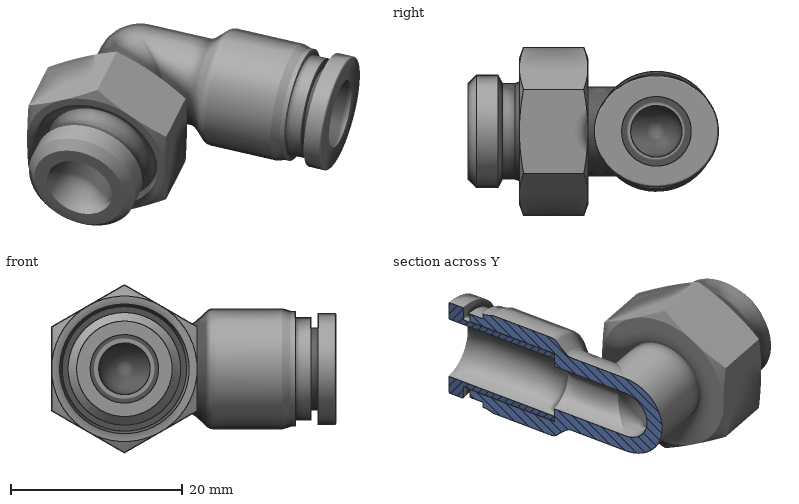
import cadquery as cq
import math


OVERALL_LENGTH = 33.2

HEX_SIDES = 6
HEX_FLATS = 17.0
HEX_TOP = 8.0
HEX_BOTTOM = 16.0
HEX_CHAMFER_ANGLE = 20
THREAD_TIP = 22.0
THREAD_DIAMETER = 13.15
THREAD_CHAMFER = 1.0
THREAD_START = 18.53
NECK_DIAMETER = 11.2
NECK_END = 18.0
NECK_FLARE_START = 16.5
NECK_FLARE_ANGLE = 22
STUD_BORE = 8.0
SEAL_RECESS_MOUTH = 15.15
SEAL_RECESS_FLOOR = 14.55
SEAL_RECESS_DEPTH = 1.0

ELBOW_DIAMETER = 10.4
ELBOW_BORE = 6.0
ELBOW_END = (HEX_TOP + HEX_BOTTOM) / 2
SHOULDER_START = 7.97
SHOULDER_END = 9.95
SHOULDER_FILLET = 1.0
SOCKET_DIAMETER = 14.0
TAPER_START = 18.45
TAPER_END = 19.45
LIP_DIAMETER = 13.4
LIP_END = 20.0
COLLAR_DIAMETER = 12.0
COLLAR_END = 21.78

RING_SHANK_DIAMETER = 9.6
RING_BORE = 8.15
FLANGE_START = 22.65
FLANGE_END = OVERALL_LENGTH - HEX_FLATS / 2
FLANGE_WIDTH = 14.5
FLANGE_HEIGHT = 12.98
FLANGE_FILLET = 0.2


def cylinder_x(diameter, start, end):
    """Cylinder on the X axis from start to end."""
    return cq.Workplane("YZ", origin=(start, 0, 0)).circle(diameter / 2).extrude(end - start)


def cylinder_down(diameter, start, end):
    """Cylinder on the Y axis, from start to end below the outlet axis."""
    return cq.Workplane("XZ", origin=(0, -start, 0)).circle(diameter / 2).extrude(end - start)


def revolve_about_y(points):
    """Solid of revolution about Y from (radius, distance below the outlet axis) points."""
    outline = [(radius, -depth) for radius, depth in points]
    return cq.Workplane("XY").polyline(outline).close().revolve(360, (0, 0, 0), (0, 1, 0))


def make_hex():
    """Hex head with two flats square to X, both ends turned to a cone that starts at the flats."""
    flat_radius = HEX_FLATS / 2
    half_side_angle = 180 / HEX_SIDES
    corner_radius = flat_radius / math.cos(math.radians(half_side_angle))
    drop = (corner_radius - flat_radius) * math.tan(math.radians(HEX_CHAMFER_ANGLE))
    prism = (
        cq.Workplane("XZ", origin=(0, -HEX_TOP, 0))
        .polygon(HEX_SIDES, 2 * corner_radius)
        .extrude(HEX_BOTTOM - HEX_TOP)
        .rotate((0, 0, 0), (0, 1, 0), half_side_angle)
    )
    turned_blank = revolve_about_y([
        (0, HEX_TOP),
        (flat_radius, HEX_TOP),
        (corner_radius, HEX_TOP + drop),
        (corner_radius, HEX_BOTTOM - drop),
        (flat_radius, HEX_BOTTOM),
        (0, HEX_BOTTOM),
    ])
    return prism.intersect(turned_blank)


def make_stud():
    """Hex head with a seal recess, an undercut neck and a plain thread envelope."""
    recess_floor = HEX_BOTTOM - SEAL_RECESS_DEPTH
    flare = (NECK_FLARE_START - recess_floor) * math.tan(math.radians(NECK_FLARE_ANGLE))
    recess = revolve_about_y([
        (0, HEX_BOTTOM),
        (SEAL_RECESS_MOUTH / 2, HEX_BOTTOM),
        (SEAL_RECESS_FLOOR / 2, recess_floor),
        (0, recess_floor),
    ])
    shank = revolve_about_y([
        (0, recess_floor),
        (NECK_DIAMETER / 2 + flare, recess_floor),
        (NECK_DIAMETER / 2, NECK_FLARE_START),
        (NECK_DIAMETER / 2, NECK_END),
        (THREAD_DIAMETER / 2, THREAD_START),
        (THREAD_DIAMETER / 2, THREAD_TIP - THREAD_CHAMFER),
        (THREAD_DIAMETER / 2 - THREAD_CHAMFER, THREAD_TIP),
        (0, THREAD_TIP),
    ])
    elbow_seat = cylinder_down(ELBOW_DIAMETER, HEX_TOP, ELBOW_END)
    bore = cylinder_down(STUD_BORE, HEX_TOP, THREAD_TIP)
    return make_hex().cut(recess).union(shank).cut(elbow_seat).cut(bore)


def make_bend(diameter, outlet_end, inlet_end):
    """Two round legs that meet at a right angle, with a ball closing the outer corner."""
    outlet_leg = cylinder_x(diameter, 0, outlet_end)
    inlet_leg = cylinder_down(diameter, 0, inlet_end)
    ball = cq.Workplane("XY").sphere(diameter / 2)
    return outlet_leg.union(inlet_leg).union(ball)


def make_socket():
    """Enlarged outlet with a filleted shoulder, a tapered lip and a collar."""
    outline = [
        (0, 0),
        (0, ELBOW_DIAMETER / 2),
        (SHOULDER_START, ELBOW_DIAMETER / 2),
        (SHOULDER_END, SOCKET_DIAMETER / 2),
        (TAPER_START, SOCKET_DIAMETER / 2),
        (TAPER_END, LIP_DIAMETER / 2),
        (LIP_END, LIP_DIAMETER / 2),
        (LIP_END, COLLAR_DIAMETER / 2),
        (COLLAR_END, COLLAR_DIAMETER / 2),
        (COLLAR_END, 0),
    ]
    socket = cq.Workplane("XY").polyline(outline).close().revolve(360, (0, 0, 0), (1, 0, 0))
    shoulder = cq.selectors.BoxSelector(
        (SHOULDER_START / 2, -SOCKET_DIAMETER, -SOCKET_DIAMETER),
        ((SHOULDER_END + TAPER_START) / 2, SOCKET_DIAMETER, SOCKET_DIAMETER),
        boundingbox=True,
    )
    return socket.edges(shoulder).edges("%CIRCLE").fillet(SHOULDER_FILLET)


def make_elbow():
    """Elbow housing: bend and socket, bored through, with a seat for the release ring."""
    outside = make_bend(ELBOW_DIAMETER, SHOULDER_START / 2, ELBOW_END).union(make_socket())
    bore = make_bend(ELBOW_BORE, COLLAR_END, ELBOW_END)
    ring_seat = cylinder_x(RING_SHANK_DIAMETER, SHOULDER_END, COLLAR_END)
    return outside.cut(bore).cut(ring_seat)


def make_release_ring():
    """Tubular ring with an oval push flange outside the socket."""
    flange = (
        cq.Workplane("YZ", origin=(FLANGE_START, 0, 0))
        .ellipse(FLANGE_WIDTH / 2, FLANGE_HEIGHT / 2)
        .extrude(FLANGE_END - FLANGE_START)
        .faces(">X")
        .edges()
        .fillet(FLANGE_FILLET)
    )
    shank = cylinder_x(RING_SHANK_DIAMETER, SHOULDER_END, FLANGE_END)
    bore = cylinder_x(RING_BORE, SHOULDER_END, FLANGE_END)
    return flange.union(shank).cut(bore)


stud = make_stud()
elbow = make_elbow()
release_ring = make_release_ring()

result = cq.Compound.makeCompound([stud.val(), elbow.val(), release_ring.val()])